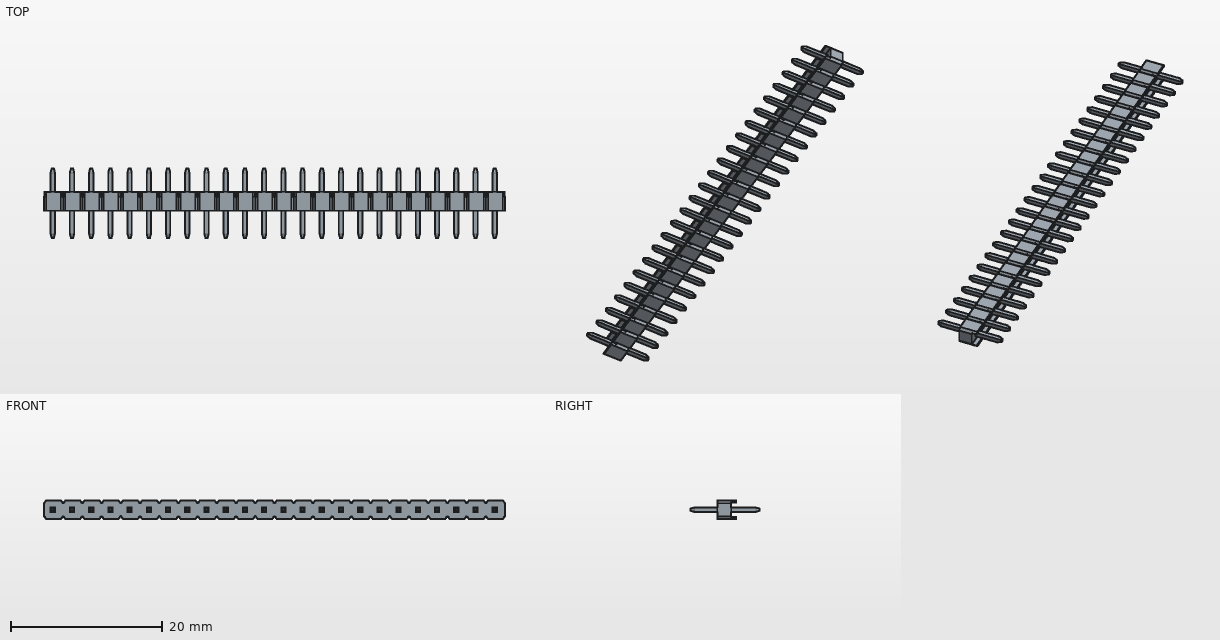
import cadquery as cq

PIN_COUNT = 24
BODY_LENGTH = 60.95
BODY_HEIGHT = 2.5
PITCH = BODY_LENGTH / PIN_COUNT
BEVEL_HEIGHT = 0.395
BEVEL_WIDTH = 0.3

BODY_DEPTH = 2.5
LIP_LENGTH = 0.7
LIP_THICKNESS = 0.3

PIN_LENGTH = 9.2
PIN_WIDTH = 0.6
PIN_OFFSET = -0.1
FRONT_REACH = 3.6
TIP_LENGTH = 0.55
TIP_WIDTH = 0.3

BODY_FRONT = 0.0
BODY_BACK = BODY_FRONT + BODY_DEPTH
PIN_FRONT = BODY_FRONT - FRONT_REACH
PIN_BACK = PIN_FRONT + PIN_LENGTH


def make_cell(x):
    """Body cell centred at x, with its four edges along Y bevelled."""
    left = x - PITCH / 2
    right = x + PITCH / 2
    top = BODY_HEIGHT / 2
    shoulder = top - BEVEL_HEIGHT
    outline = [
        (left, -shoulder),
        (left, shoulder),
        (left + BEVEL_WIDTH, top),
        (right - BEVEL_WIDTH, top),
        (right, shoulder),
        (right, -shoulder),
        (right - BEVEL_WIDTH, -top),
        (left + BEVEL_WIDTH, -top),
    ]
    front_plane = cq.Plane(origin=(0, BODY_FRONT, 0), xDir=(1, 0, 0), normal=(0, -1, 0))
    return cq.Workplane(front_plane).polyline(outline).close().extrude(-BODY_DEPTH)


def make_rear_channel():
    """Cutter along the whole body that leaves a lip above and below it."""
    channel_height = BODY_HEIGHT - 2 * LIP_THICKNESS
    channel = cq.Workplane("XY").box(BODY_LENGTH, LIP_LENGTH, channel_height)
    return channel.translate((0, BODY_BACK - LIP_LENGTH / 2, 0))


def make_tip(x, base_y, end_y):
    """Square frustum narrowing from the pin section at base_y to the blunt end at end_y."""
    direction = 1 if end_y > base_y else -1
    base = cq.Plane(origin=(x, base_y, 0), xDir=(1, 0, 0), normal=(0, direction, 0))
    return (
        cq.Workplane(base)
        .rect(PIN_WIDTH, PIN_WIDTH)
        .workplane(offset=TIP_LENGTH)
        .rect(TIP_WIDTH, TIP_WIDTH)
        .loft(ruled=True)
    )


def make_pin(x):
    """Square pin at x, running through the body and tapered at both ends."""
    shaft = cq.Workplane("XY").box(PIN_WIDTH, PIN_LENGTH - 2 * TIP_LENGTH, PIN_WIDTH)
    shaft = shaft.translate((x, (PIN_FRONT + PIN_BACK) / 2, 0))
    front_tip = make_tip(x, PIN_FRONT + TIP_LENGTH, PIN_FRONT)
    back_tip = make_tip(x, PIN_BACK - TIP_LENGTH, PIN_BACK)
    return shaft.union(front_tip).union(back_tip)


cell_centres = [(i - (PIN_COUNT - 1) / 2) * PITCH for i in range(PIN_COUNT)]

body = make_cell(cell_centres[0])
for x in cell_centres[1:]:
    body = body.union(make_cell(x))
body = body.cut(make_rear_channel())

result = body
for x in cell_centres:
    result = result.union(make_pin(x + PIN_OFFSET))
result = result.clean()